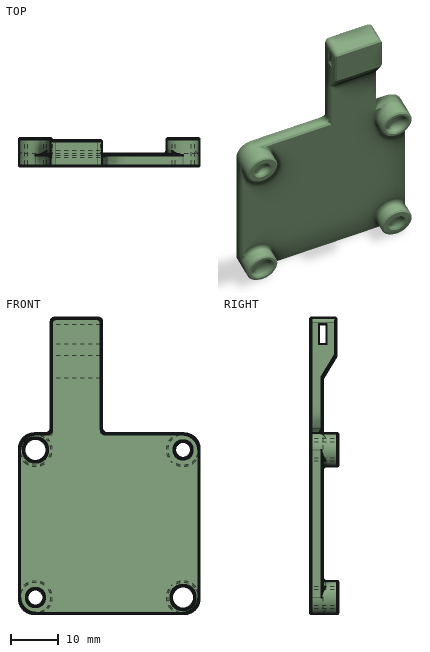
import cadquery as cq
import math

plate_size = 38.0
plate_thickness = 2.75
corner_radius = 3.5
edge_chamfer = 0.3
back_chamfer = 0.35

total_height = 62.28
tab_left = -12.3
tab_width = 10.8
tab_thickness = 5.6
tab_corner_radius = 1.0
tab_root_radius = 1.0
head_length = 8.0
ramp_length = 4.7

slot_depth_from_top = 1.4
slot_length = 4.1
slot_front = 1.9
slot_width = 1.55

boss_radius = corner_radius
boss_length = 6.0
flare_radius = 0.5
large_bore = 4.7
small_bore = 3.4

half_plate = plate_size / 2
tab_right = tab_left + tab_width
ramp_top = total_height - head_length
ramp_bottom = ramp_top - ramp_length
boss_left = corner_radius - half_plate
boss_right = -boss_left
boss_low = corner_radius
boss_high = plate_size - corner_radius
bosses = [
    (boss_left, boss_high, large_bore),
    (boss_right, boss_low, large_bore),
    (boss_left, boss_low, small_bore),
    (boss_right, boss_high, small_bore),
]


def sharp_plate_with_tab():
    """Thin plate and tab with sharp corners, the tab ramping up to its thick head."""
    side_profile = (
        cq.Workplane("YZ")
        .lineTo(plate_thickness, 0)
        .lineTo(plate_thickness, ramp_bottom)
        .lineTo(tab_thickness, ramp_top)
        .lineTo(tab_thickness, total_height)
        .lineTo(0, total_height)
        .close()
    )
    outline = (
        cq.Workplane("XZ")
        .moveTo(-half_plate, 0)
        .lineTo(half_plate, 0)
        .lineTo(half_plate, plate_size)
        .lineTo(tab_right, plate_size)
        .lineTo(tab_right, total_height)
        .lineTo(tab_left, total_height)
        .lineTo(tab_left, plate_size)
        .lineTo(-half_plate, plate_size)
        .close()
    )
    return outline.extrude(-tab_thickness).intersect(side_profile.extrude(half_plate, both=True))


def plate_with_tab():
    """Plate and tab with a chamfered back rim, then rounded tab corners, then a chamfered front rim."""
    body = sharp_plate_with_tab()
    ramp_creases = cq.selectors.BoxSelector(
        (tab_left, 0, ramp_bottom - back_chamfer),
        (tab_right, 2 * tab_thickness, ramp_top + back_chamfer),
    )
    creases = body.edges("|X").edges(ramp_creases).vals()
    front_rim = body.faces("<Y").edges().vals()
    back_rim = [
        edge
        for edge in body.edges("not |Y").vals()
        if not any(edge.isSame(other) for other in creases + front_rim)
    ]
    body = body.newObject(back_rim).chamfer(back_chamfer)

    tab_roots = cq.selectors.BoxSelector(
        (tab_left - back_chamfer, 0, plate_size - back_chamfer),
        (tab_right + back_chamfer, plate_thickness, plate_size + back_chamfer),
    )
    body = body.edges("|Y").edges(tab_roots).fillet(tab_root_radius)
    body = body.edges("|Y and >Z").fillet(tab_corner_radius)
    return body.faces("<Y").chamfer(edge_chamfer)


def corner_notch(x, z):
    """Square corner of plate and flare, outward of a boss axis, that the boss replaces."""
    center_x = x + math.copysign(corner_radius / 2, x)
    center_z = z + math.copysign(corner_radius / 2, z - half_plate)
    return (
        cq.Workplane("XY")
        .box(corner_radius, boss_length, corner_radius, centered=(True, False, True))
        .translate((center_x, 0, center_z))
    )


def boss(x, z):
    """Boss cylinder with chamfered ends."""
    return (
        cq.Workplane("XZ", origin=(x, 0, z))
        .circle(boss_radius)
        .extrude(-boss_length)
        .faces("<Y or >Y")
        .chamfer(edge_chamfer)
    )


def boss_flare(x, z):
    """Concave flare around the foot of a boss, trimmed by the plate's sloping rim."""
    foot_radius = boss_radius + flare_radius
    flare_top = plate_thickness + flare_radius
    arc_inset = flare_radius * (1 - math.sqrt(0.5))
    flare = (
        cq.Workplane("XY")
        .moveTo(0, plate_thickness)
        .lineTo(foot_radius, plate_thickness)
        .threePointArc((boss_radius + arc_inset, plate_thickness + arc_inset), (boss_radius, flare_top))
        .lineTo(0, flare_top)
        .close()
        .revolve(360, (0, 0, 0), (0, 1, 0))
        .translate((x, 0, z))
    )
    rim_size = plate_size - 2 * back_chamfer
    rim_slope = (
        cq.Workplane("XZ", origin=(0, plate_thickness, half_plate))
        .rect(rim_size, rim_size)
        .extrude(-flare_radius, taper=45)
    )
    return flare.intersect(rim_slope)


def bore(x, z, diameter):
    """Through hole of a boss, countersunk at both ends."""
    radius = diameter / 2
    rim = radius + edge_chamfer
    profile = (
        cq.Workplane("XY")
        .moveTo(0, 0)
        .lineTo(rim, 0)
        .lineTo(radius, edge_chamfer)
        .lineTo(radius, boss_length - edge_chamfer)
        .lineTo(rim, boss_length)
        .lineTo(0, boss_length)
        .close()
    )
    return profile.revolve(360, (0, 0, 0), (0, 1, 0)).translate((x, 0, z))


def slot():
    """Rectangular slot running along X through the tab head."""
    return (
        cq.Workplane("XY")
        .box(tab_width, slot_width, slot_length, centered=False)
        .translate((tab_left, slot_front, total_height - slot_depth_from_top - slot_length))
    )


result = plate_with_tab()
for boss_x, boss_z, bore_diameter in bosses:
    result = result.union(boss_flare(boss_x, boss_z))
    result = result.cut(corner_notch(boss_x, boss_z))
    result = result.union(boss(boss_x, boss_z))
    result = result.cut(bore(boss_x, boss_z, bore_diameter))
result = result.cut(slot())